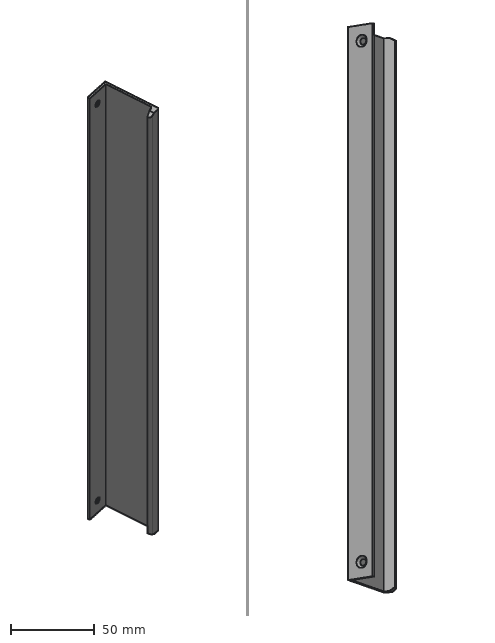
import cadquery as cq

length = 340.0
width = 40.0
depth = 17.7
wall = 1.7

lip_depth = 8.5
lip_root_width = 4.5
lip_tip_width = 2.5
lip_edge_radius = 1.7
back_corner_radius = 1.0
lip_end_height = 2.0
lip_end_depth = 3.5

hole_diameter = 4.0
countersink_diameter = 7.5
countersink_angle = 90.0
hole_end_distance = 10.0
hole_back_distance = 10.0

left = -width / 2
right = width / 2
back = depth / 2
front = -depth / 2
inner_back = back - wall
lip_front = back - lip_depth
top = length / 2


def make_profile():
    """Extrude the channel: long flange, web and tapered lip."""
    outline = [
        (left, back),
        (right, back),
        (right, lip_front),
        (right - lip_tip_width, lip_front),
        (right - lip_root_width, inner_back),
        (left + wall, inner_back),
        (left + wall, front),
        (left, front),
    ]
    body = cq.Workplane("XY").polyline(outline).close().extrude(length)
    body = body.translate((0, 0, -top))
    lip_edge = cq.selectors.NearestToPointSelector((right, lip_front, 0))
    back_corner = cq.selectors.NearestToPointSelector((right, back, 0))
    body = body.edges(lip_edge).fillet(lip_edge_radius)
    return body.edges(back_corner).fillet(back_corner_radius)


def make_lip_end_cut(end):
    """Wedge that bevels the lip tip at the end on the given side of Z."""
    corner = [
        (lip_front, end * top),
        (lip_front + lip_end_depth, end * top),
        (lip_front, end * (top - lip_end_height)),
    ]
    wedge = cq.Workplane("YZ").polyline(corner).close().extrude(lip_root_width)
    return wedge.translate((right - lip_root_width, 0, 0))


def drill_flange(body):
    """Countersink both screw holes from the outer face of the flange."""
    hole_y = back - hole_back_distance
    hole_z = top - hole_end_distance
    outer_face = cq.Plane(origin=(left, 0, 0), xDir=(0, -1, 0), normal=(-1, 0, 0))
    return (
        body.copyWorkplane(cq.Workplane(outer_face))
        .pushPoints([(-hole_y, -hole_z), (-hole_y, hole_z)])
        .cskHole(hole_diameter, countersink_diameter, countersink_angle, depth=2 * wall)
    )


result = make_profile()
for end in (-1, 1):
    result = result.cut(make_lip_end_cut(end))
result = drill_flange(result)